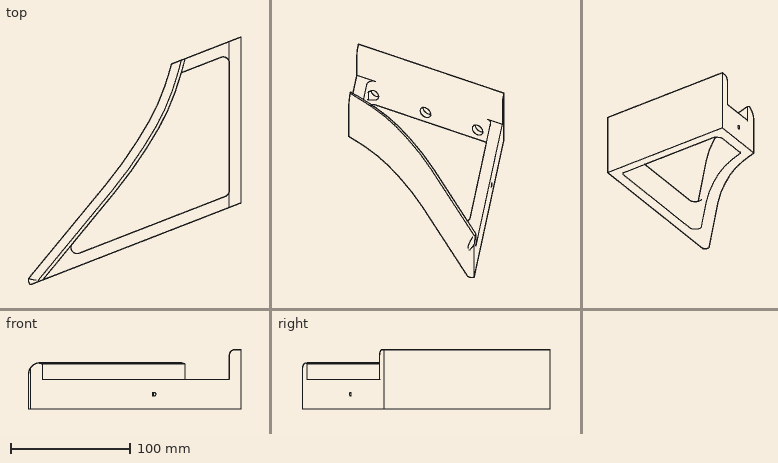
import cadquery as cq
import math

PLATE_LENGTH = 139.5
TOTAL_LENGTH = 208.2
TOTAL_WIDTH = 178.6
PLATE_HEIGHT = 50.0
WALL = 10.0
FRAME_HEIGHT = PLATE_HEIGHT / 2
PLATE_ROUND = WALL / 2
WINDOW_ROUND = WALL / 2

BLADE_HEIGHT = 39.0
BLADE_SIDE_HEIGHT = BLADE_HEIGHT - WALL
BLADE_RIDGE_OFFSET = 7.3
BLADE_INNER_HEIGHT = 37.9
BLADE_START = (-177.5, 6.5)
BLADE_CURVE = [(-113.7, 84.0), (-87.0, 121.2), (-70.2, 151.5), (-58.3, 186.3)]
BLADE_END_DIRECTION = (0.26, 1.0)
BLADE_OVERRUN = 12.5

TIP_SETBACK = 1.9
TIP_MIDDLE_Y = 3.1
TIP_ROUND_LENGTH = 9.2

SOCKET_DIAMETER = 10.0
SOCKET_SPACING = 50.0
SOCKET_HEIGHT = 10.0
SOCKET_DEPTH = 5.0
SOCKET_CLEARANCE = 3.5
PIN_DIAMETER = 3.1
PIN_DEPTH = 5.0
LOWER_PIN_X = -73.0
UPPER_PIN_X = -30.5

PLATE_START_Y = TOTAL_LENGTH - PLATE_LENGTH
TIP_X = -TOTAL_WIDTH + TIP_SETBACK
RAIL_SLOPE = PLATE_START_Y / -TIP_X
RAIL_ANGLE = math.atan(RAIL_SLOPE)
RAIL_WALL_Y = WALL / math.cos(RAIL_ANGLE)


def lower_y(x):
    """Y of the lower slanted side at x."""
    return PLATE_START_Y + RAIL_SLOPE * x


def upper_y(x):
    """Y of the upper slanted side at x."""
    return TOTAL_LENGTH + RAIL_SLOPE * x


def beyond(point, direction, distance):
    """Point reached from another one along a direction."""
    scale = distance / math.hypot(*direction)
    return (point[0] + scale * direction[0], point[1] + scale * direction[1])


first_run = (BLADE_CURVE[0][0] - BLADE_START[0], BLADE_CURVE[0][1] - BLADE_START[1])
blade_origin = beyond(BLADE_START, first_run, -BLADE_OVERRUN)
end_point = beyond(BLADE_CURVE[-1], BLADE_END_DIRECTION, BLADE_OVERRUN)


def blade_line():
    """Outer blade line, straight at first and then curving to the upper side."""
    return (
        cq.Workplane("XY")
        .moveTo(*blade_origin)
        .lineTo(*BLADE_CURVE[0])
        .spline(
            BLADE_CURVE[1:] + [end_point],
            tangents=[first_run, BLADE_END_DIRECTION],
            includeCurrent=True,
        )
    )


def slanted_band(inset_y, right_x):
    """Slab between the two slanted sides, moved inwards by inset_y."""
    left_x = -TOTAL_WIDTH - BLADE_OVERRUN
    return (
        cq.Workplane("XY")
        .moveTo(left_x, lower_y(left_x) + inset_y)
        .lineTo(right_x, lower_y(right_x) + inset_y)
        .lineTo(right_x, upper_y(right_x) - inset_y)
        .lineTo(left_x, upper_y(left_x) - inset_y)
        .close()
        .extrude(PLATE_HEIGHT)
    )


def frame_plan():
    """Solid plan of the frame, with its left edge hidden inside the blade."""
    left_edge = [(x + WALL / 2, y) for x, y in [blade_origin] + BLADE_CURVE + [end_point]]
    outline = left_edge + [(0, TOTAL_LENGTH + BLADE_OVERRUN), (0, 0)]
    block = cq.Workplane("XY").polyline(outline).close().extrude(FRAME_HEIGHT)
    return block.intersect(slanted_band(0, 0))


def tip_limit():
    """Prism holding everything on the part's side of the rounded tip."""
    outward = (-first_run[1], first_run[0])
    outer_corner = beyond(BLADE_START, outward, BLADE_OVERRUN)
    return (
        cq.Workplane("XY")
        .moveTo(TIP_X, 0)
        .threePointArc((-TOTAL_WIDTH, TIP_MIDDLE_Y), BLADE_START)
        .lineTo(*outer_corner)
        .lineTo(outer_corner[0], TOTAL_LENGTH)
        .lineTo(0, TOTAL_LENGTH)
        .lineTo(0, 0)
        .close()
        .extrude(PLATE_HEIGHT)
    )


def shoulder_middle(length):
    """Midpoint of an arc that leaves the side upright and reaches the ridge within a length."""
    rise = BLADE_HEIGHT - BLADE_SIDE_HEIGHT
    radius = (length**2 + rise**2) / (2 * length)
    half_angle = math.asin(rise / radius) / 2
    return (
        radius * (1 - math.cos(half_angle)),
        BLADE_SIDE_HEIGHT + radius * math.sin(half_angle),
    )


def blade_section():
    """Workplane across the start of the blade: x points inwards and y points up."""
    inward = (first_run[1], -first_run[0], 0)
    backward = (-first_run[0], -first_run[1], 0)
    return cq.Workplane(cq.Plane(origin=(*blade_origin, 0), xDir=inward, normal=backward))


def blade():
    """Upright blade with a rounded outer shoulder and a ridge near its inner face."""
    return (
        blade_section()
        .lineTo(0, BLADE_SIDE_HEIGHT)
        .threePointArc(shoulder_middle(BLADE_RIDGE_OFFSET), (BLADE_RIDGE_OFFSET, BLADE_HEIGHT))
        .lineTo(WALL, BLADE_INNER_HEIGHT)
        .lineTo(WALL, 0)
        .close()
        .sweep(blade_line())
    )


def tip_trim():
    """Waste above the rounded shoulder at the tip, running along Y."""
    inset, height = shoulder_middle(TIP_ROUND_LENGTH)
    return (
        cq.Workplane("XZ")
        .moveTo(-TOTAL_WIDTH, BLADE_SIDE_HEIGHT)
        .threePointArc((-TOTAL_WIDTH + inset, height), (-TOTAL_WIDTH + TIP_ROUND_LENGTH, BLADE_HEIGHT))
        .lineTo(-TOTAL_WIDTH - BLADE_OVERRUN, BLADE_HEIGHT)
        .lineTo(-TOTAL_WIDTH - BLADE_OVERRUN, BLADE_SIDE_HEIGHT)
        .close()
        .extrude(-TOTAL_LENGTH)
    )


def window(plan):
    """Opening of even wall thickness, sharp only where the blade meets the upper rail."""
    blade_wall = (
        blade_section()
        .rect(WALL, PLATE_HEIGHT, centered=False)
        .sweep(blade_line())
    )
    opening = plan.intersect(slanted_band(RAIL_WALL_Y, -WALL)).cut(blade_wall)
    lower_left = opening.edges("|Z").edges("<X")
    return (
        opening.edges("|Z and >X")
        .add(lower_left)
        .fillet(WINDOW_ROUND)
    )


def plate():
    """Tall mounting plate with its inner top edge rounded."""
    block = (
        cq.Workplane("XY")
        .box(WALL, TOTAL_LENGTH, PLATE_HEIGHT, centered=False)
        .translate((-WALL, 0, 0))
        .edges("|Y and <X and >Z")
        .fillet(PLATE_ROUND)
    )
    return block.intersect(slanted_band(0, 0))


def socket_holes():
    """Row of blind holes in the plate's inner face, also clearing the corner rounds of the window."""
    middle_y = PLATE_START_Y + PLATE_LENGTH / 2
    centers = [(middle_y + step * SOCKET_SPACING, SOCKET_HEIGHT) for step in (-1, 0, 1)]
    return (
        cq.Workplane("YZ", origin=(-WALL + SOCKET_DEPTH, 0, 0))
        .pushPoints(centers)
        .circle(SOCKET_DIAMETER / 2)
        .extrude(-SOCKET_DEPTH - SOCKET_CLEARANCE)
    )


def pin_hole(x, y, side):
    """Blind hole in a slanted rail, square to its face; side is +1 to drill towards +Y."""
    direction = cq.Vector(-math.sin(RAIL_ANGLE), math.cos(RAIL_ANGLE), 0) * side
    start = cq.Vector(x, y, FRAME_HEIGHT / 2)
    return cq.Workplane(cq.Solid.makeCylinder(PIN_DIAMETER / 2, PIN_DEPTH, start, direction))


frame = frame_plan().intersect(tip_limit())
trimmed_blade = blade().intersect(slanted_band(0, 0)).intersect(tip_limit()).cut(tip_trim())

result = (
    frame.cut(window(frame))
    .union(trimmed_blade)
    .union(plate())
    .cut(socket_holes())
    .cut(pin_hole(LOWER_PIN_X, lower_y(LOWER_PIN_X), 1))
    .cut(pin_hole(UPPER_PIN_X, upper_y(UPPER_PIN_X), -1))
)